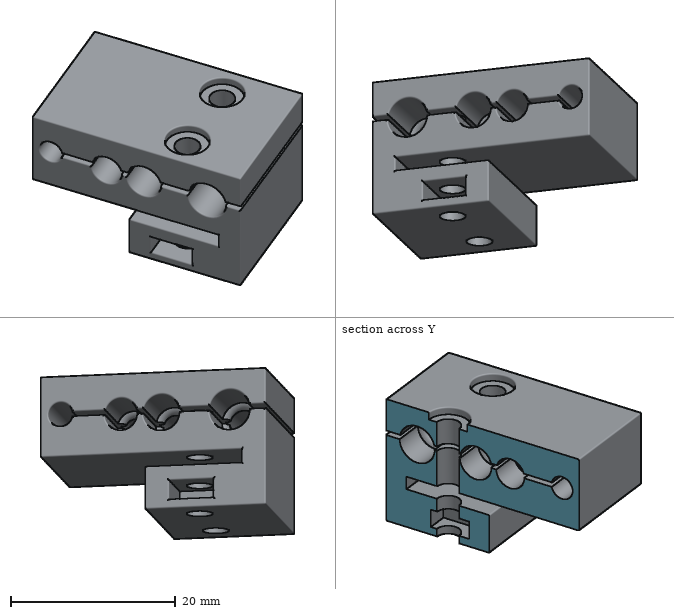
import cadquery as cq


length = 28.0
depth = 18.0
height = 17.0
edge_radius = 0.2

body_height = 10.0
slot_height = 1.68
slot_end_x = 25.0
foot_start_x = 13.0
body_bottom_z = height - body_height
foot_top_z = body_bottom_z - slot_height

slit_width = 0.55
slit_top_z = height - 4.45
slit_bottom_z = slit_top_z - slit_width
end_bore_x = 2.5
end_bore_diameter = 3.0
end_bore_z = slit_bottom_z + slit_width / 2
cable_bores = [(10.0, 4.0), (15.0, 4.5), (23.5, 5.0)]
cable_bore_z = slit_bottom_z
rib_radius = 1.0
rib_height = 0.75

screw_x = 19.0
screw_inset = 4.0
screw_hole_diameter = 3.2
head_diameter = 5.5
head_depth = 1.0
nut_width = 5.5
nut_height = 2.35
nut_pocket_start_x = 16.0
nut_pocket_floor_z = 1.12
nut_pocket_depth = screw_inset + nut_width / 2


def block(x_start, x_end, y_start, y_end, z_start, z_end):
    """Box given by its limits along each axis."""
    size = (x_end - x_start, y_end - y_start, z_end - z_start)
    return cq.Workplane("XY").box(*size, centered=False).translate((x_start, y_start, z_start))


def bore(x, z, diameter):
    """Cylinder along Y through the full depth."""
    return cq.Workplane("XZ", origin=(x, 0, z)).circle(diameter / 2).extrude(-depth)


def grip_rib(x, z, diameter):
    """Ring of rounded section around the middle of a bore, without the parts in the slit."""
    ring_radius = diameter / 2 - rib_height + rib_radius
    ring = cq.Workplane("XY").add(
        cq.Solid.makeTorus(ring_radius, rib_radius, cq.Vector(x, depth / 2, z), cq.Vector(0, 1, 0))
    )
    slit = block(x - diameter, x + diameter, 0, depth, slit_bottom_z, slit_top_z)
    return ring.intersect(bore(x, z, diameter)).cut(slit)


def screw_hole(y):
    """Through hole with a flat head recess that has a rounded rim."""
    hole_radius = screw_hole_diameter / 2
    head_radius = head_diameter / 2
    rim_radius = head_radius + edge_radius
    return (
        cq.Workplane("XZ", origin=(screw_x, y, 0))
        .lineTo(hole_radius, 0)
        .lineTo(hole_radius, height - head_depth)
        .lineTo(head_radius, height - head_depth)
        .lineTo(head_radius, height - edge_radius)
        .radiusArc((rim_radius, height), edge_radius)
        .lineTo(0, height)
        .close()
        .revolve(360, (0, 0, 0), (0, 1, 0))
    )


outline = [
    (0, height),
    (length, height),
    (length, 0),
    (foot_start_x, 0),
    (foot_start_x, foot_top_z),
    (slot_end_x, foot_top_z),
    (slot_end_x, body_bottom_z),
    (0, body_bottom_z),
]
clamp = cq.Workplane("XZ").polyline(outline).close().extrude(-depth)
foot_top_corner = cq.selectors.NearestToPointSelector((foot_start_x, depth / 2, foot_top_z))
outer_corners = clamp.faces("<X or >X or >Z or <Z").edges("|Y").add(clamp.edges(foot_top_corner))
clamp = outer_corners.fillet(edge_radius)

clamp = clamp.cut(block(end_bore_x, length, 0, depth, slit_bottom_z, slit_top_z))
clamp = clamp.cut(bore(end_bore_x, end_bore_z, end_bore_diameter))
for x, diameter in cable_bores:
    clamp = clamp.cut(bore(x, cable_bore_z, diameter))

pocket_end_x = nut_pocket_start_x + nut_width
pocket_top_z = nut_pocket_floor_z + nut_height
for y_start, y_end in [(0, nut_pocket_depth), (depth - nut_pocket_depth, depth)]:
    clamp = clamp.cut(
        block(nut_pocket_start_x, pocket_end_x, y_start, y_end, nut_pocket_floor_z, pocket_top_z)
    )

clamp = clamp.faces("<Y or >Y").edges().fillet(edge_radius)

for x, diameter in cable_bores:
    clamp = clamp.union(grip_rib(x, cable_bore_z, diameter))

for y in (screw_inset, depth - screw_inset):
    clamp = clamp.cut(screw_hole(y))

result = clamp